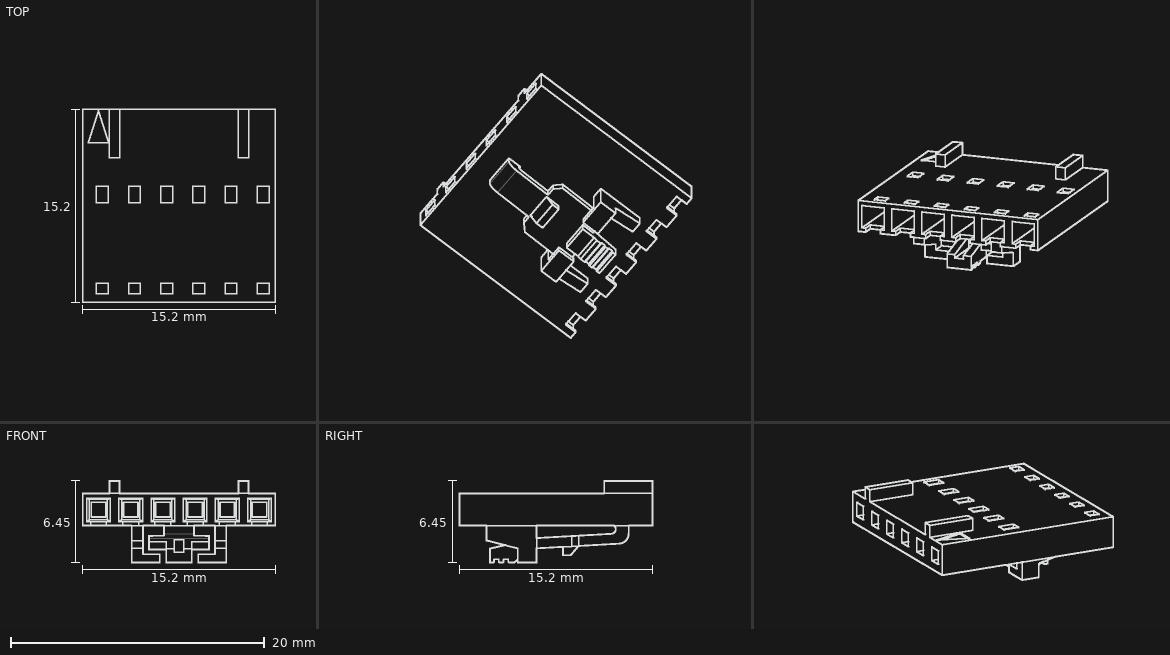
import cadquery as cq
import math

BODY_WIDTH = 15.21
BODY_LENGTH = 15.24
BODY_HEIGHT = 2.54
FRONT_Y = -BODY_LENGTH / 2
REAR_Y = BODY_LENGTH / 2

CONTACT_COUNT = 6
PITCH = 2.54
CONTACT_XS = [(i - (CONTACT_COUNT - 1) / 2) * PITCH for i in range(CONTACT_COUNT)]
SOCKET_DEPTH = 9.0
FUNNEL_DEPTH = 0.26
MOUTH_WIDTH = 1.87
MOUTH_BOTTOM_Z = 0.33
MOUTH_TOP_Z = 2.15
INNER_WIDTH = 1.42
INNER_BOTTOM_Z = 0.455
INNER_TOP_Z = 2.08
PASSAGE_SIZE = 1.13
PASSAGE_Z = BODY_HEIGHT / 2
FLOOR_SLOT_WIDTH = 1.25
FLOOR_SLOT_LENGTH = 1.02

POCKET_OFFSET_X = 0.295
POCKET_WIDTH = 0.93
POCKET_DEPTH = 0.3
FRONT_POCKET_LENGTH = 0.8
FRONT_POCKET_INSET = 1.1
FRONT_POCKET_Y = FRONT_Y + FRONT_POCKET_INSET
REAR_POCKET_LENGTH = 1.3
REAR_POCKET_Y = 0.88

MARK_X = CONTACT_XS[0]
MARK_WIDTH = 1.62
MARK_BASE_Y = 4.96
MARK_TIP_Y = 7.49
MARK_DEPTH = 0.1

RAIL_WIDTH = 0.8
RAIL_LENGTH = 3.82
RAIL_HEIGHT = 0.99
RAIL_X = 5.09

FOOT_Z = -2.92
POST_INNER_X = 2.83
POST_OUTER_X = 3.74
POST_REAR_Y = -1.52
POST_FRONT_Y = -5.49
POST_FRONT_Z = -1.17
LEG_FRONT_Y = -3.02
LEG_FRONT_Z = -1.79
TOE_INNER_X = 1.51
TOE_HEIGHT = 0.67

ARM_SLOPE = math.radians(3.27)
ARM_REAR_Y = 5.74
ARM_THICKNESS = 0.83
ARM_BEND_RADIUS = 0.8
BEND_INNER_RADIUS = 0.35
BEND_INNER_Y = 4.36
BEND_INNER_Z = -0.28
ARM_NARROW_WIDTH = 2.4
ARM_WIDE_WIDTH = 4.76
ARM_SHOULDER_Y = 1.78
ARM_SHOULDER_CHAMFER = 0.54
ARM_FRONT_Y = -2.95

HOOK_REAR_Y = ARM_SHOULDER_Y
HOOK_FRONT_Y = 0.54
HOOK_FLAT_LENGTH = 0.62
HOOK_Z = -2.34

PAD_WIDTH = 2.03
PAD_REAR_Y = -1.9
PAD_FRONT_Y = -5.22
PAD_FRONT_Z = -1.8
PAD_SLOPE_START_Y = -1.6
HEEL_Y = -3.05
HEEL_HEIGHT = 0.2
HEEL_LENGTH = 0.26
GRIP_GROOVE_YS = (-3.95, -4.7)
GRIP_GROOVE_WIDTH = 0.36
GRIP_GROOVE_DEPTH = 0.26
GRIP_CHAMFER = 0.07
PAD_SLOT_WIDTH = 0.75
PAD_SLOT_TOP_Z = -1.09
PAD_SLOT_FLOOR_Z = -2.08


def box(x0, x1, y0, y1, z0, z1):
    """Box between two opposite corners."""
    return cq.Workplane("XY").box(x1 - x0, y1 - y0, z1 - z0, centered=False).translate((x0, y0, z0))


def side_extrusion(points, x0, x1):
    """Closed outline of (y, z) points extruded from x0 to x1."""
    return cq.Workplane("YZ").polyline(points).close().extrude(x1 - x0).translate((x0, 0, 0))


def arm_top_z(y):
    """Height of the arm's top surface, tangent to the inner bend."""
    tangent_z = BEND_INNER_Z - BEND_INNER_RADIUS / math.cos(ARM_SLOPE)
    return tangent_z - (BEND_INNER_Y - y) * math.tan(ARM_SLOPE)


def arm_bottom_z(y):
    """Height of the arm's bottom surface."""
    return arm_top_z(y) - ARM_THICKNESS


PAD_SLOPE_START_Z = arm_top_z(PAD_SLOPE_START_Y)
PAD_SLOPE = (PAD_SLOPE_START_Z - PAD_FRONT_Z) / (PAD_SLOPE_START_Y - PAD_FRONT_Y)


def pad_top_z(y):
    """Height of the sloping thumb surface."""
    return PAD_FRONT_Z + (y - PAD_FRONT_Y) * PAD_SLOPE


def contact_cavity(x):
    """Straight socket, funnel, rear passage and open slot in the socket floor."""
    half_mouth = MOUTH_WIDTH / 2
    socket_end_y = FRONT_Y + SOCKET_DEPTH
    socket = box(x - half_mouth, x + half_mouth, FRONT_Y, socket_end_y, MOUTH_BOTTOM_Z, MOUTH_TOP_Z)
    mouth_height = MOUTH_TOP_Z - MOUTH_BOTTOM_Z
    mouth_z = (MOUTH_TOP_Z + MOUTH_BOTTOM_Z) / 2
    inner_height = INNER_TOP_Z - INNER_BOTTOM_Z
    inner_z = (INNER_TOP_Z + INNER_BOTTOM_Z) / 2
    funnel = (
        cq.Workplane("XZ", origin=(x, socket_end_y, mouth_z))
        .rect(MOUTH_WIDTH, mouth_height)
        .workplane(offset=-FUNNEL_DEPTH)
        .center(0, inner_z - mouth_z)
        .rect(INNER_WIDTH, inner_height)
        .loft(ruled=True)
    )
    half_passage = PASSAGE_SIZE / 2
    passage_bottom_z = PASSAGE_Z - half_passage
    passage_top_z = PASSAGE_Z + half_passage
    passage = box(x - half_passage, x + half_passage, FRONT_Y, REAR_Y, passage_bottom_z, passage_top_z)
    half_slot = FLOOR_SLOT_WIDTH / 2
    floor_slot = box(x - half_slot, x + half_slot, FRONT_Y, FRONT_Y + FLOOR_SLOT_LENGTH, 0, MOUTH_BOTTOM_Z)
    return socket.union(funnel).union(passage).union(floor_slot)


def top_pocket(x, y, length):
    """Shallow rectangular pocket in the top face, centred at (x, y)."""
    half_width = POCKET_WIDTH / 2
    half_length = length / 2
    floor_z = BODY_HEIGHT - POCKET_DEPTH
    return box(x - half_width, x + half_width, y - half_length, y + half_length, floor_z, BODY_HEIGHT)


def make_body():
    """Housing block with cavities, top pockets, first-contact mark and rails."""
    half_width = BODY_WIDTH / 2
    body = box(-half_width, half_width, FRONT_Y, REAR_Y, 0, BODY_HEIGHT)
    for x in CONTACT_XS:
        body = body.cut(contact_cavity(x))
        body = body.cut(top_pocket(x + POCKET_OFFSET_X, FRONT_POCKET_Y, FRONT_POCKET_LENGTH))
        body = body.cut(top_pocket(x + POCKET_OFFSET_X, REAR_POCKET_Y, REAR_POCKET_LENGTH))
    mark = (
        cq.Workplane("XY", origin=(MARK_X, 0, BODY_HEIGHT))
        .polyline([(-MARK_WIDTH / 2, MARK_BASE_Y), (MARK_WIDTH / 2, MARK_BASE_Y), (0, MARK_TIP_Y)])
        .close()
        .extrude(-MARK_DEPTH)
    )
    body = body.cut(mark)
    half_rail = RAIL_WIDTH / 2
    rail_front_y = REAR_Y - RAIL_LENGTH
    rail_top_z = BODY_HEIGHT + RAIL_HEIGHT
    for x in (-RAIL_X, RAIL_X):
        rail = box(x - half_rail, x + half_rail, rail_front_y, REAR_Y, BODY_HEIGHT, rail_top_z)
        body = body.union(rail)
    return body


def make_post():
    """Guard post on the +X side, with a toe pointing towards the latch."""
    outline = [
        (POST_REAR_Y, 0),
        (POST_REAR_Y, FOOT_Z),
        (LEG_FRONT_Y, FOOT_Z),
        (LEG_FRONT_Y, LEG_FRONT_Z),
        (POST_FRONT_Y, POST_FRONT_Z),
        (POST_FRONT_Y, 0),
    ]
    post = side_extrusion(outline, POST_INNER_X, POST_OUTER_X)
    toe = box(TOE_INNER_X, POST_INNER_X, LEG_FRONT_Y, POST_REAR_Y, FOOT_Z, FOOT_Z + TOE_HEIGHT)
    return post.union(toe)


def make_arm():
    """Bent latch arm with a wide free end that has chamfered shoulders."""
    half_wide = ARM_WIDE_WIDTH / 2
    tangent_y = BEND_INNER_Y + BEND_INNER_RADIUS * math.sin(ARM_SLOPE)
    root_y = BEND_INNER_Y + math.sqrt(BEND_INNER_RADIUS**2 - BEND_INNER_Z**2)
    profile = (
        cq.Workplane("YZ")
        .moveTo(ARM_REAR_Y, 0)
        .lineTo(ARM_REAR_Y, arm_bottom_z(ARM_REAR_Y))
        .lineTo(ARM_FRONT_Y, arm_bottom_z(ARM_FRONT_Y))
        .lineTo(ARM_FRONT_Y, pad_top_z(ARM_FRONT_Y))
        .lineTo(PAD_SLOPE_START_Y, PAD_SLOPE_START_Z)
        .lineTo(tangent_y, arm_top_z(tangent_y))
        .threePointArc((BEND_INNER_Y + BEND_INNER_RADIUS, BEND_INNER_Z), (root_y, 0))
        .close()
        .extrude(half_wide, both=True)
    )
    bend_corner = cq.selectors.NearestToPointSelector((0, ARM_REAR_Y, arm_bottom_z(ARM_REAR_Y)))
    profile = profile.edges("|X").edges(bend_corner).fillet(ARM_BEND_RADIUS)
    wide_end = box(-half_wide, half_wide, ARM_FRONT_Y, ARM_SHOULDER_Y, FOOT_Z, 0)
    wide_end = wide_end.edges("|Z and >Y").chamfer(ARM_SHOULDER_CHAMFER)
    half_narrow = ARM_NARROW_WIDTH / 2
    plan = box(-half_narrow, half_narrow, ARM_SHOULDER_Y, ARM_REAR_Y, FOOT_Z, 0).union(wide_end)
    return profile.intersect(plan)


def make_hook():
    """Locking hook with a ramped rear face, sunk halfway into the arm."""
    root_z = arm_top_z(HOOK_FRONT_Y) - ARM_THICKNESS / 2
    outline = [
        (HOOK_REAR_Y, root_z),
        (HOOK_REAR_Y, arm_bottom_z(HOOK_REAR_Y)),
        (HOOK_FRONT_Y + HOOK_FLAT_LENGTH, HOOK_Z),
        (HOOK_FRONT_Y, HOOK_Z),
        (HOOK_FRONT_Y, root_z),
    ]
    return side_extrusion(outline, -PAD_WIDTH / 2, PAD_WIDTH / 2)


def make_pad():
    """Thumb pad with a sloping top and grip grooves underneath."""
    heel_z = FOOT_Z + HEEL_HEIGHT
    outline = [
        (PAD_REAR_Y, pad_top_z(PAD_REAR_Y)),
        (PAD_REAR_Y, heel_z),
        (HEEL_Y, heel_z),
        (HEEL_Y - HEEL_LENGTH, FOOT_Z),
        (PAD_FRONT_Y, FOOT_Z),
        (PAD_FRONT_Y, PAD_FRONT_Z),
    ]
    half_width = PAD_WIDTH / 2
    pad = side_extrusion(outline, -half_width, half_width)
    half_groove = GRIP_GROOVE_WIDTH / 2
    half_opening = half_groove + GRIP_CHAMFER
    for y in GRIP_GROOVE_YS:
        groove = [
            (y - half_opening, FOOT_Z),
            (y - half_groove, FOOT_Z + GRIP_CHAMFER),
            (y - half_groove, FOOT_Z + GRIP_GROOVE_DEPTH),
            (y + half_groove, FOOT_Z + GRIP_GROOVE_DEPTH),
            (y + half_groove, FOOT_Z + GRIP_CHAMFER),
            (y + half_opening, FOOT_Z),
        ]
        pad = pad.cut(side_extrusion(groove, -half_width, half_width))
    return pad


def make_latch():
    """Arm, hook and thumb pad joined, with the slot that ends where the thumb surface reaches its top."""
    slot_rear_y = PAD_FRONT_Y + (PAD_SLOT_TOP_Z - PAD_FRONT_Z) / PAD_SLOPE
    half_slot = PAD_SLOT_WIDTH / 2
    slot = box(-half_slot, half_slot, PAD_FRONT_Y, slot_rear_y, PAD_SLOT_FLOOR_Z, PAD_SLOT_TOP_Z)
    return make_arm().union(make_hook()).union(make_pad()).cut(slot)


post = make_post()
result = make_body().union(post).union(post.mirror("YZ")).union(make_latch())